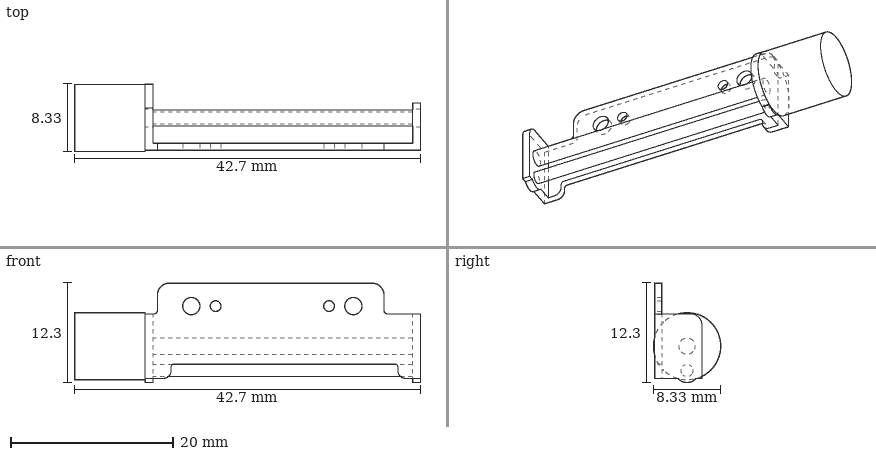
import cadquery as cq
import math

motor_diameter = 8.3
motor_length = 8.7

bracket_length = 34.0
bracket_height = 8.0
plate_thickness = 0.9
flange_thickness = 1.0
half_height = bracket_height / 2
plate_front_y = -4.0
motor_flange_radius = 4.18
right_flange_back_y = 1.85
right_flange_corner_radius = 1.4

tab_start_x = 1.5
tab_length = 28.0
tab_rise = 3.8
tab_corner_radius = 1.5
relief_radius = 0.4
tab_end_x = tab_start_x + tab_length
tab_top_z = half_height + tab_rise

notch_start_x = 3.2
notch_length = 28.0
notch_depth = 1.8
notch_mouth_radius = 1.0
notch_end_x = notch_start_x + notch_length

hole_row_z = 4.95
hole_centre_x = 15.7
large_hole_diameter = 2.1
large_hole_spacing = 20.0
small_hole_diameter = 1.3
small_hole_spacing = 14.0

shaft_diameter = 2.0
guide_rod_diameter = 1.5
guide_rod_z = -3.0
lobe_radius = 1.5


def x_cylinder(diameter, start_x, length, centre_z=0.0):
    """Cylinder along X, centred on Y = 0."""
    return (
        cq.Workplane("YZ", origin=(start_x, 0, centre_z))
        .circle(diameter / 2)
        .extrude(length)
    )


def bearing_lobe(start_x):
    return x_cylinder(2 * lobe_radius, start_x, flange_thickness, guide_rod_z)


def plate_block(start_x, end_x, bottom_z, top_z):
    return cq.Workplane("XY").box(
        end_x - start_x, plate_thickness, top_z - bottom_z, centered=False
    ).translate((start_x, plate_front_y, bottom_z))


def fillet_at(body, points, radius):
    """Round the Y-direction plate edges at the given (x, z) points."""
    reach = 0.01
    for x, z in points:
        edge = cq.selectors.BoxSelector(
            (x - reach, plate_front_y - reach, z - reach),
            (x + reach, plate_front_y + plate_thickness + reach, z + reach),
        )
        body = body.edges(edge).fillet(radius)
    return body


def tab_holes(diameter, spacing):
    half_spacing = spacing / 2
    centres = [(hole_centre_x + side * half_spacing, hole_row_z) for side in (-1, 1)]
    return (
        cq.Workplane("XZ", origin=(0, plate_front_y, 0))
        .pushPoints(centres)
        .circle(diameter / 2)
        .extrude(-plate_thickness)
    )


def front_plate():
    notch_top_z = -half_height + notch_depth
    plate = plate_block(0, bracket_length, -half_height, half_height)
    plate = plate.union(plate_block(tab_start_x, tab_end_x, 0, tab_top_z))
    plate = plate.cut(plate_block(notch_start_x, notch_end_x, -half_height, notch_top_z))

    tab_ends = (tab_start_x, tab_end_x)
    notch_ends = (notch_start_x, notch_end_x)
    plate = fillet_at(plate, [(x, tab_top_z) for x in tab_ends], tab_corner_radius)
    plate = fillet_at(plate, [(x, half_height) for x in tab_ends], relief_radius)
    plate = fillet_at(plate, [(x, notch_top_z) for x in notch_ends], relief_radius)
    plate = fillet_at(plate, [(x, -half_height) for x in notch_ends], notch_mouth_radius)

    plate = plate.cut(tab_holes(large_hole_diameter, large_hole_spacing))
    return plate.cut(tab_holes(small_hole_diameter, small_hole_spacing))


def motor_flange():
    """Left flange: flat top and bottom, with a round back just larger than the motor."""
    round_start_y = math.sqrt(motor_flange_radius**2 - half_height**2)
    profile = (
        cq.Workplane("YZ")
        .moveTo(plate_front_y, -half_height)
        .lineTo(round_start_y, -half_height)
        .threePointArc((motor_flange_radius, 0), (round_start_y, half_height))
        .lineTo(plate_front_y, half_height)
        .close()
    )
    return profile.extrude(flange_thickness).union(bearing_lobe(0))


def bearing_flange():
    """Right flange: narrower, with its upper back corner rounded."""
    start_x = bracket_length - flange_thickness
    width = right_flange_back_y - plate_front_y
    flange = cq.Workplane("XY").box(
        flange_thickness, width, bracket_height, centered=False
    ).translate((start_x, plate_front_y, -half_height))
    flange = flange.edges("|X and >Y and >Z").fillet(right_flange_corner_radius)
    return flange.union(bearing_lobe(start_x))


motor = x_cylinder(motor_diameter, -motor_length, motor_length)
shaft = x_cylinder(shaft_diameter, 0, bracket_length)
guide_rod = x_cylinder(guide_rod_diameter, 0, bracket_length, guide_rod_z)

bracket = front_plate().union(motor_flange()).union(bearing_flange())
result = bracket.union(motor).union(shaft).union(guide_rod)